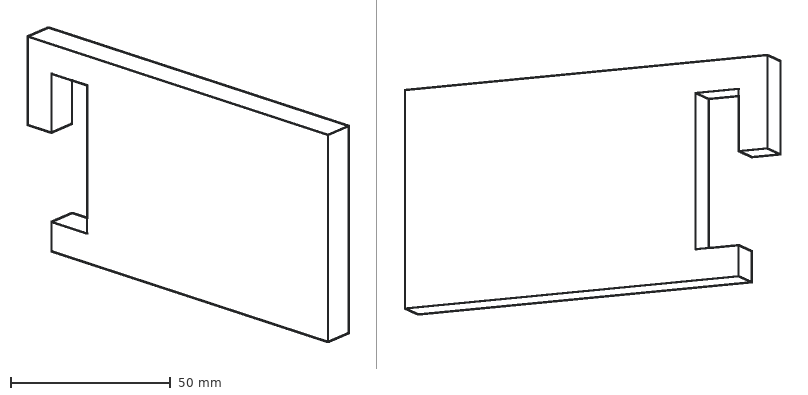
import cadquery as cq

length = 124.8
height = 70.0
thickness = 10.0

arm = 10.0
finger_width = 9.9
finger_height = 30.0
opening_right = 24.7

outline = [
    (finger_width, 0),
    (length, 0),
    (length, height),
    (0, height),
    (0, height - finger_height),
    (finger_width, height - finger_height),
    (finger_width, height - arm),
    (opening_right, height - arm),
    (opening_right, arm),
    (finger_width, arm),
]

result = cq.Workplane("XZ").polyline(outline).close().extrude(thickness / 2, both=True)